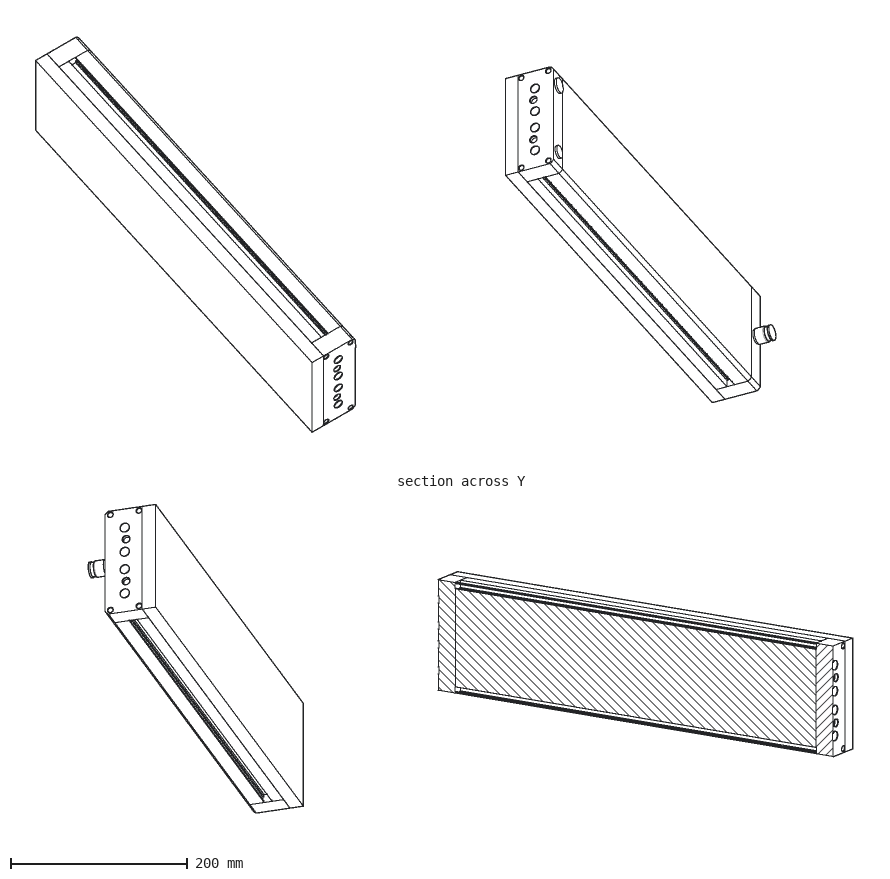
import cadquery as cq
import math

length = 532.0
height = 130.0
foam_thickness = 16.0
housing_depth = 44.6
housing_back = foam_thickness + housing_depth

bevel_size = 4.5
bevel_crown = 0.5

cap_length = 23.0
cap_inner_x = length / 2 - cap_length

screw_diameter = 7.0
screw_y_places = (19.9, 54.0)
screw_z = 60.2
socket_diameter = 9.5
socket_y = 35.2
socket_z = 26.5
screw_depth = 10.0
socket_depth = 4.0
screw_rim = 0.6
socket_rim = 0.6
port_diameter = 11.0
port_y = 37.0
port_z_places = (11.0, 41.5)
port_depth = 1.0

groove_front_y = 29.7
groove_back_y = 39.2
groove_depth = 10.0
ledge_width = 1.8
ledge_depth = 8.5
lip_height = 1.8
undercut_depth = 1.5
undercut_bottom = 7.2

fitting_x = length / 2 - 11.2
plug_thickness = 2.35
large_plug_diameter = 18.0
large_plug_z = 44.5
small_plug_diameter = 15.0
small_plug_z = -44.5

connector_reach = 20.6
base_radius = 8.5
body_radius = 9.5
flange_radius = 9.2
neck_radius = 8.3
base_cone_end = 2.4
body_end = 13.0
neck_start = 14.5
neck_end = 18.5


def housing_stretch(x_start, x_end):
    """Solid stretch of the housing section between two X positions."""
    top = height / 2
    bevel_y = housing_back - bevel_size
    bevel_z = top - bevel_size
    crown_offset = bevel_crown / math.sqrt(2) - bevel_size / 2
    crown_y = housing_back + crown_offset
    crown_z = top + crown_offset
    return (
        cq.Workplane("YZ", origin=(x_start, 0, 0))
        .moveTo(foam_thickness, -top)
        .lineTo(bevel_y, -top)
        .threePointArc((crown_y, -crown_z), (housing_back, -bevel_z))
        .lineTo(housing_back, bevel_z)
        .threePointArc((crown_y, crown_z), (bevel_y, top))
        .lineTo(foam_thickness, top)
        .close()
        .extrude(x_end - x_start)
    )


def make_foam():
    """Foam pad covering the whole front."""
    return cq.Workplane("XY").box(length, foam_thickness, height).translate((0, foam_thickness / 2, 0))


def make_profile():
    """Extruded profile between the caps, grooved above and below."""
    top = height / 2
    channel_front_y = groove_front_y + ledge_width
    groove_outline = [
        (groove_front_y, top),
        (groove_front_y, top - ledge_depth),
        (channel_front_y, top - ledge_depth),
        (channel_front_y, top - groove_depth),
        (groove_back_y, top - groove_depth),
        (groove_back_y, top - undercut_bottom),
        (groove_back_y + undercut_depth, top - undercut_bottom),
        (groove_back_y + undercut_depth, top - lip_height),
        (groove_back_y, top - lip_height),
        (groove_back_y, top),
    ]
    groove = (
        cq.Workplane("YZ", origin=(-cap_inner_x, 0, 0))
        .polyline(groove_outline)
        .close()
        .extrude(2 * cap_inner_x)
    )
    return housing_stretch(-cap_inner_x, cap_inner_x).cut(groove).cut(groove.mirror("XY"))


def end_holes(points, diameter, depth, rim=0.0):
    """Round holes going inward from the left end face, with an optional countersunk rim."""
    holes = (
        cq.Workplane("YZ", origin=(-length / 2, 0, 0))
        .pushPoints(points)
        .circle(diameter / 2 - rim)
        .extrude(depth)
    )
    if rim:
        rims = (
            cq.Workplane("YZ", origin=(-length / 2, 0, 0))
            .pushPoints(points)
            .circle(diameter / 2)
            .extrude(rim, taper=45)
        )
        holes = holes.union(rims)
    return holes


def make_cap():
    """Left end cap with its screw holes, sockets and ports."""
    screws = [(y, side * screw_z) for y in screw_y_places for side in (-1, 1)]
    sockets = [(socket_y, side * socket_z) for side in (-1, 1)]
    ports = [(port_y, side * z) for z in port_z_places for side in (-1, 1)]
    return (
        housing_stretch(-length / 2, -cap_inner_x)
        .cut(end_holes(screws, screw_diameter, screw_depth, screw_rim))
        .cut(end_holes(sockets, socket_diameter, socket_depth, socket_rim))
        .cut(end_holes(ports, port_diameter, port_depth))
    )


def make_connector():
    """Turned hose connector standing on the back of the left cap."""
    half_section = [
        (0, 0),
        (0, base_radius),
        (base_cone_end, body_radius),
        (body_end, body_radius),
        (neck_start, flange_radius),
        (neck_start, neck_radius),
        (neck_end, neck_radius),
        (neck_end, flange_radius),
        (connector_reach, flange_radius),
        (connector_reach, 0),
    ]
    return (
        cq.Workplane("YZ")
        .polyline(half_section)
        .close()
        .revolve(360, (0, 0, 0), (1, 0, 0))
        .translate((-fitting_x, housing_back, 0))
    )


def make_plug(z, diameter):
    """Flat round plug on the back of the right cap."""
    return (
        cq.Workplane("XZ", origin=(fitting_x, housing_back, z))
        .circle(diameter / 2)
        .extrude(-plug_thickness)
    )


foam = make_foam()
profile = make_profile()
left_cap = make_cap().union(make_connector())
right_cap = (
    make_cap()
    .mirror("YZ")
    .union(make_plug(large_plug_z, large_plug_diameter))
    .union(make_plug(small_plug_z, small_plug_diameter))
)

result = cq.Compound.makeCompound([foam.val(), profile.val(), left_cap.val(), right_cap.val()])